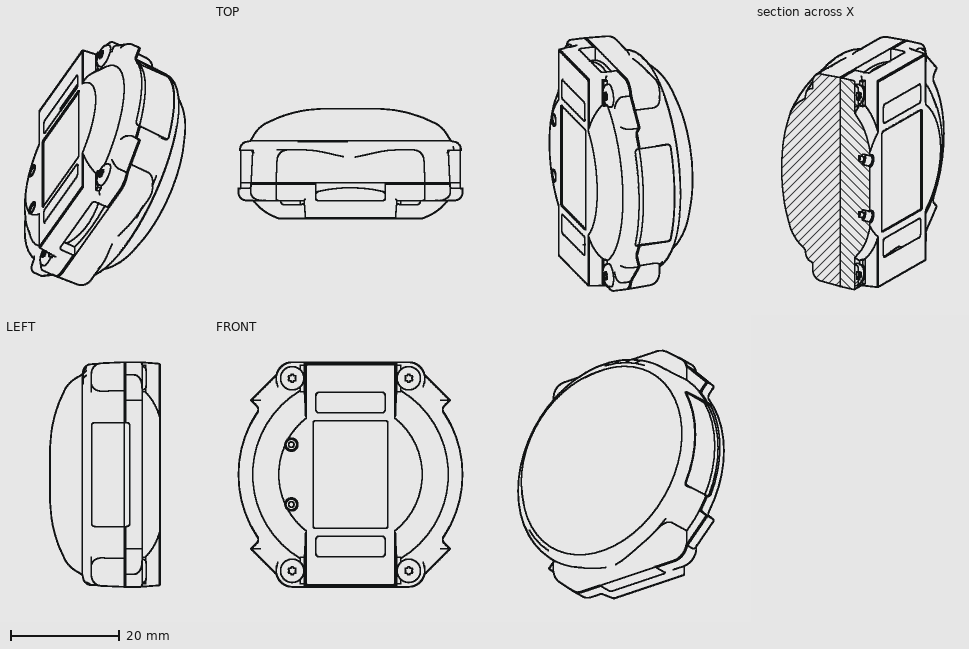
import cadquery as cq
import math


case_height = 41.6
case_width = 41.45
flange_radius = case_width / 2
flange_face_y = 3.33
split_y = 6.55
dome_top_y = 20.35

lug_half_width = 13.75
lug_corner_radius = 3.0
screw_x = lug_half_width - lug_corner_radius
screw_z = case_height / 2 - lug_corner_radius
screw_places = [(sx * screw_x, sz * screw_z) for sx in (-1, 1) for sz in (-1, 1)]

bezel_radius = 20.45
bezel_y = 12.7
bezel_lip_radius = 19.38
bezel_lip_y = 14.18
lens_radius = 18.15
lens_base_y = 14.95
shoulder_radius = 15.85
shoulder_y = 17.55
dome_flat_radius = 5.2
rear_lug_fillet = 1.95
side_draft = math.degrees(math.atan((flange_radius - bezel_radius) / (bezel_y - split_y)))
bezel_arc_point = (20.1, 13.7)
shoulder_arc_point = (17.3, 16.3)
dome_arc_point = (10.7, 19.55)
lens_groove_point = (18.6, 14.35)

grip_radius = 20.3
grip_half_length = 9.6
grip_start_y = 5.57
grip_end_y = 12.65
grip_corner_radius = 0.6

flange_fillet = 1.5
front_lug_fillet = 0.4
seam_width = 0.25
seam_depth = 0.1
ear_reach = 22.75
ear_half_width = 3.33
ear_angle = 45
notch_radius = 0.85
bowl_base_radius = 17.8
bowl_base_y = 3.08
bowl_foot_width = 0.3
bowl_arc_point = (16.4, 1.65)
bowl_flat_radius = 13.25

strap_root_y = flange_face_y + front_lug_fillet
strap_half_width = 8.6
strap_half_height = case_height / 2
strap_draft = 4.5
strap_corner_radius = 0.35
strap_edge_chamfer = 0.15
strap_foot_x = 9.3
strap_foot_y = 2.65
strap_foot_low_z = 15.25
strap_foot_high_z = 20.15

slot_half_width = 6.45
window_low_z = 11.45
window_high_z = 15.18
window_corner_radius = 0.5
slot_floor_radius = 19.25
slot_floor_y = 5.7

label_half_width = 6.9
label_half_height = 9.95
label_depth = 0.25
label_corner_radius = 0.4

contact_x = -10.95
contact_z = 5.55
contact_radius = 1.0
contact_depth = 1.65
contact_chamfer = 0.2
contact_core_radius = 0.5
contact_core_depth = 0.85

head_radius = 2.15
head_height = 0.8
head_fillet = 0.75
socket_radius = 0.6
socket_lobe_radius = 0.187
socket_lobes = 6
socket_depth = 0.4


def facing_front(y):
    """Plane at the given Y, with extrusions running toward the front (-Y)."""
    return cq.Workplane("XZ", origin=(0, y, 0))


def facing_back(y):
    """Plane at the given Y, with extrusions running toward the back (+Y)."""
    return cq.Workplane(cq.Plane(origin=(0, y, 0), xDir=(1, 0, 0), normal=(0, 1, 0)))


def turned(profile):
    """Revolve a closed (radius, Y) profile about the case axis."""
    return profile.close().revolve(360, (0, 0, 0), (0, 1, 0))


def lug_outline(inset=0.0):
    """Rounded rectangle whose four corners are the screw lugs."""
    sketch = cq.Sketch().rect(2 * (lug_half_width - inset), case_height - 2 * inset)
    return sketch.vertices().fillet(lug_corner_radius - inset)


def flange_slab(near_y, far_y, inset=0.0):
    """Round slab with four diagonal ears."""
    thickness = far_y - near_y
    slab = facing_front(far_y).circle(flange_radius - inset).extrude(thickness)
    for angle in (ear_angle, -ear_angle):
        ears = facing_front(far_y).rect(2 * (ear_reach - inset), 2 * (ear_half_width - inset))
        ears = ears.extrude(thickness)
        slab = slab.union(ears.rotate((0, 0, 0), (0, 1, 0), angle))
    return slab


def notch_edges(slab):
    """Pick the inner corners beside the ears that face the left and right sides."""
    match_distance = 0.05
    depth = math.sqrt(flange_radius**2 - ear_half_width**2)
    cosine = math.cos(math.radians(ear_angle))
    sine = math.sin(math.radians(ear_angle))
    x = depth * cosine + ear_half_width * sine
    z = depth * sine - ear_half_width * cosine
    edges = []
    for edge in slab.edges("|Y").vals():
        centre = edge.Center()
        if math.hypot(abs(centre.x) - x, abs(centre.z) - z) < match_distance:
            edges.append(edge)
    return slab.newObject(edges)


def grip_cutter():
    """Shallow pads on both sides, cut to a smaller radius than the wall."""
    grip_length = grip_end_y - grip_start_y
    grip_mid_y = (grip_start_y + grip_end_y) / 2
    ring = facing_back(grip_start_y).circle(ear_reach).circle(grip_radius).extrude(grip_length)
    pad = cq.Workplane("XY").box(2 * ear_reach, grip_length, 2 * grip_half_length)
    pad = pad.edges("|X").fillet(grip_corner_radius)
    return ring.intersect(pad.translate((0, grip_mid_y, 0)))


def make_rear_housing():
    """Domed back with a drafted wall, four lugs and the side grips."""
    body = turned(
        cq.Workplane("XY")
        .moveTo(0, split_y)
        .lineTo(flange_radius, split_y)
        .lineTo(bezel_radius, bezel_y)
        .threePointArc(bezel_arc_point, (bezel_lip_radius, bezel_lip_y))
        .lineTo(*lens_groove_point)
        .lineTo(lens_radius, lens_base_y)
        .threePointArc(shoulder_arc_point, (shoulder_radius, shoulder_y))
        .threePointArc(dome_arc_point, (dome_flat_radius, dome_top_y))
        .lineTo(0, dome_top_y)
    )
    lugs = facing_back(split_y).placeSketch(lug_outline()).extrude(bezel_y - split_y, taper=side_draft)
    lugs = lugs.faces(">Y").edges().fillet(rear_lug_fillet)
    return body.union(lugs).cut(grip_cutter())


def make_front_shell():
    """Flange with its ears, the four lugs and the rounded bowl."""
    body_end_y = split_y - seam_width
    flange = flange_slab(flange_face_y, body_end_y)
    flange = notch_edges(flange).fillet(notch_radius)
    flange = flange.faces("<Y").edges().fillet(flange_fillet)

    lugs = facing_front(body_end_y).placeSketch(lug_outline()).extrude(body_end_y - flange_face_y)
    lugs = lugs.faces("<Y").edges().fillet(front_lug_fillet)

    seam = flange_slab(body_end_y, split_y, seam_depth)
    seam = seam.union(facing_front(split_y).placeSketch(lug_outline(seam_depth)).extrude(seam_width))

    bowl = turned(
        cq.Workplane("XY")
        .moveTo(0, split_y)
        .lineTo(bowl_base_radius + bowl_foot_width, split_y)
        .lineTo(bowl_base_radius + bowl_foot_width, flange_face_y)
        .lineTo(bowl_base_radius, bowl_base_y)
        .threePointArc(bowl_arc_point, (bowl_flat_radius, 0))
        .lineTo(0, 0)
    )
    return flange.union(lugs).union(seam).union(bowl)


def make_strap_bar():
    """Drafted bar across the front, with ledges that leave room for the screw heads."""
    bar = facing_front(strap_root_y).rect(2 * strap_half_width, 2 * strap_half_height)
    bar = bar.extrude(strap_root_y, taper=strap_draft)
    bar = bar.edges("not #Y").fillet(strap_corner_radius)
    bar = bar.faces("<Y").edges().chamfer(strap_edge_chamfer)
    foot_height = strap_foot_high_z - strap_foot_low_z
    foot_mid_z = (strap_foot_high_z + strap_foot_low_z) / 2
    feet = facing_front(flange_face_y).pushPoints([(0, foot_mid_z), (0, -foot_mid_z)])
    feet = feet.rect(2 * strap_foot_x, foot_height).extrude(flange_face_y - strap_foot_y)
    head_room = facing_front(flange_face_y).pushPoints(screw_places).circle(head_radius)
    head_room = head_room.extrude(flange_face_y)
    return bar.union(feet.cut(head_room))


def slot_prism(points):
    """Extrude a (Y, Z) outline across the width of the strap slot."""
    return cq.Workplane("YZ").polyline(points).close().extrude(slot_half_width, both=True)


def slot_cutter():
    """Upper strap slot: in through the front window, out through the end face of the case."""
    end_z = case_height / 2
    ramp_top_z = window_low_z + split_y * (slot_floor_radius - window_low_z) / slot_floor_y
    slot = slot_prism(
        [
            (0, window_low_z),
            (0, window_high_z),
            (flange_face_y, end_z),
            (split_y, end_z),
            (split_y, window_low_z),
        ]
    )
    ramp = slot_prism([(0, window_low_z), (split_y, ramp_top_z), (split_y, window_low_z)])
    drum = facing_front(split_y).circle(slot_floor_radius).extrude(split_y)
    slot = slot.cut(ramp.intersect(drum))
    sloping_corners = slot.edges("(<X or >X) and (not |Y) and (not |Z)")
    return sloping_corners.fillet(window_corner_radius)


def label_cutter():
    """Shallow rounded rectangle in the front face."""
    block = facing_front(label_depth).rect(2 * label_half_width, 2 * label_half_height).extrude(label_depth)
    return block.edges("|Y").fillet(label_corner_radius)


def contact_cutter(z):
    """Stepped, chamfered hole for one contact."""
    hole = (
        cq.Workplane("XY")
        .lineTo(contact_radius + contact_chamfer, 0)
        .lineTo(contact_radius, contact_chamfer)
        .lineTo(contact_radius, contact_depth)
        .lineTo(contact_core_radius, contact_depth)
        .lineTo(contact_core_radius, contact_depth + contact_core_depth)
        .lineTo(0, contact_depth + contact_core_depth)
    )
    return turned(hole).translate((contact_x, 0, z))


def make_front_housing():
    """Flanged front with the strap bar, strap slots, label recess and contact holes."""
    body = make_front_shell().union(make_strap_bar())
    slot = slot_cutter()
    body = body.cut(slot).cut(slot.mirror("XY"))
    body = body.cut(label_cutter()).cut(grip_cutter())
    for side in (-1, 1):
        body = body.cut(contact_cutter(side * contact_z))
    return body


def make_screw(x, z):
    """Round-headed screw with a six-lobed socket, seated on a lug."""
    head = facing_front(flange_face_y).circle(head_radius).extrude(head_height)
    head = head.faces("<Y").edges().fillet(head_fillet)
    socket_floor_y = flange_face_y - head_height + socket_depth
    socket = facing_front(socket_floor_y).circle(socket_radius).extrude(socket_depth)
    lobes = (
        facing_front(socket_floor_y)
        .polarArray(socket_radius, 90, 360, socket_lobes)
        .circle(socket_lobe_radius)
        .extrude(socket_depth)
    )
    return head.cut(socket.union(lobes)).translate((x, 0, z))


rear_housing = make_rear_housing()
front_housing = make_front_housing()
screws = [make_screw(x, z) for x, z in screw_places]

result = cq.Compound.makeCompound(
    [rear_housing.val(), front_housing.val(), *[screw.val() for screw in screws]]
)